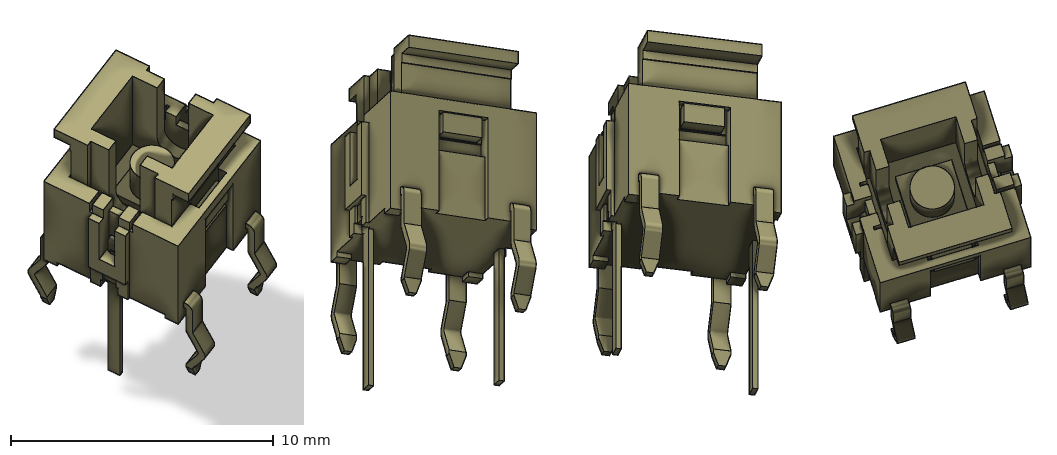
import cadquery as cq
import math


BODY_SIZE = 6.0
BODY_TOP = 4.6
HALF_BODY = BODY_SIZE / 2
FOOT_SIZE = 0.6
FOOT_HEIGHT = 0.2
WALL_INNER = 2.3
CAVITY_FLOOR = 2.6

RECESS_WIDTH = 2.0
RECESS_DEPTH = 0.3
WINDOW_TOP = 4.1

BOSS_WIDTH = 1.66
BOSS_FACE = 3.3
BOSS_LOWER_FACE = 3.12
BOSS_STEP_Z = 1.1
BOSS_TOP = 4.1
SIDE_GAP = 0.13
REAR_GAP_END = 2.6
SLOT_WIDTH = 0.69
SLOT_FLOOR = 1.9
LOWER_SLOT_WIDTH = 0.61
LOWER_SLOT_FACE = 3.0
PIN_POCKET_WIDTH = 0.78
PIN_POCKET_TOP = 0.4

PIN_WIDTH = 0.53
PIN_INNER = 2.58
PIN_OUTER = 2.79
PIN_TOP = 2.69
PIN_TOP_RADIUS = 0.25
FRONT_PIN_END = -5.4
REAR_PIN_END = -6.4
BARB_WIDTH = 0.3
BARB_FACE = 2.83
BARB_TOP = 2.07

CAP_TOP = 7.0
CAP_DEPTH = 4.5
FLANGE_THICKNESS = 0.5
HALF_FLANGE = 3.0
HALF_COLLAR = 2.3
HALF_NECK = 2.25
COLLAR_BOTTOM = 6.14
CAP_CAVITY = (3.6, 3.0)
CAP_FLOOR = 2.8
SPLIT_WIDTH = 1.4
SPLIT_CENTER_Z = 3.95
ARM_STEP_WIDTH = 3.0
ARM_OUTER = 2.02

LATCH_FACE = 2.35
LATCH_BOTTOM = 3.25
LATCH_TOP = 4.85
HOOK_FACE = 2.9
HOOK_WIDTH = 1.6
HOOK_BOTTOM = 3.29

LAMP_BASE_SIZE = 2.25
LAMP_BASE_TOP = 3.15
LAMP_RADIUS = 0.845
LAMP_TOP = 4.5

LEG_THICKNESS = 0.3
LEG_WIDTH = 0.7
LEG_Y = 2.25
LEG_OUTER = 3.4
LEG_TOP = 0.7
SHOULDER_RADIUS = 0.35
APEX_X = 3.95
APEX_Z = -2.0
APEX_RADIUS = 0.4
KNEE_ANGLE = math.radians(29)
LEG_TIP_WIDTH = 0.3
LEG_TIP_START = -3.16
LEG_END = -3.7


def block(x0, x1, y0, y1, z0, z1):
    """Axis-aligned box between two corners."""
    return cq.Workplane("XY").box(x1 - x0, y1 - y0, z1 - z0, centered=False).translate((x0, y0, z0))


def centered_block(width, y0, y1, z0, z1):
    """Box of the given X width, centred on X = 0."""
    return block(-width / 2, width / 2, y0, y1, z0, z1)


def flipped_x(shape):
    return shape.mirror("YZ")


def flipped_y(shape):
    return shape.mirror("XZ")


def make_body():
    body = centered_block(BODY_SIZE, -HALF_BODY, HALF_BODY, 0, BODY_TOP)
    foot_start = HALF_BODY - FOOT_SIZE
    foot = block(foot_start, HALF_BODY, foot_start, HALF_BODY, -FOOT_HEIGHT, 0)
    for corner in (foot, flipped_x(foot)):
        body = body.union(corner).union(flipped_y(corner))
    return body.cut(centered_block(2 * WALL_INNER, -WALL_INNER, WALL_INNER, CAVITY_FLOOR, BODY_TOP))


def make_window_cut():
    """Recess, window and latch clearance in the +X wall."""
    half = RECESS_WIDTH / 2
    recess_floor = HALF_BODY - RECESS_DEPTH
    recess = block(recess_floor, HALF_BODY, -half, half, 0, WINDOW_TOP)
    clearance = block(WALL_INNER, recess_floor, -half, half, CAVITY_FLOOR, BODY_TOP)
    return recess.union(clearance)


def make_boss():
    """Lamp contact boss on the +Y wall."""
    upper = centered_block(BOSS_WIDTH, HALF_BODY, BOSS_FACE, BOSS_STEP_Z, BOSS_TOP)
    lower = centered_block(BOSS_WIDTH, HALF_BODY, BOSS_LOWER_FACE, 0, BOSS_STEP_Z)
    return upper.union(lower)


def make_boss_cut():
    """Lamp contact slot and pin pocket in the +Y wall and boss."""
    outer_slot = centered_block(SLOT_WIDTH, PIN_INNER, BOSS_FACE, SLOT_FLOOR, BODY_TOP)
    inner_slot = centered_block(SLOT_WIDTH, WALL_INNER, PIN_INNER, BOSS_TOP, BODY_TOP)
    lower_slot = centered_block(
        LOWER_SLOT_WIDTH, LOWER_SLOT_FACE, BOSS_LOWER_FACE, PIN_POCKET_TOP, BOSS_STEP_Z)
    pocket = centered_block(PIN_POCKET_WIDTH, PIN_OUTER, BOSS_LOWER_FACE, 0, PIN_POCKET_TOP)
    return outer_slot.union(inner_slot).union(lower_slot).union(pocket)


def make_side_gaps(gap_end):
    """Pair of relief gaps in the +Y wall, reaching out to gap_end."""
    start = BOSS_WIDTH / 2
    gap = block(start, start + SIDE_GAP, WALL_INNER, gap_end, BOSS_TOP, BODY_TOP)
    return gap.union(flipped_x(gap))


def make_pin(end_z):
    """Lamp pin on the +Y side, with a rounded upper end."""
    arc_y = PIN_OUTER - PIN_TOP_RADIUS
    arc_z = PIN_TOP - PIN_TOP_RADIUS
    arc_middle = PIN_TOP_RADIUS * math.sqrt(0.5)
    return (
        cq.Workplane("YZ")
        .moveTo(PIN_INNER, end_z)
        .lineTo(PIN_OUTER, end_z)
        .lineTo(PIN_OUTER, arc_z)
        .threePointArc((arc_y + arc_middle, arc_z + arc_middle), (arc_y, PIN_TOP))
        .lineTo(arc_y, SLOT_FLOOR)
        .lineTo(PIN_INNER, SLOT_FLOOR)
        .close()
        .extrude(PIN_WIDTH / 2, both=True)
    )


def make_barb():
    """Small barb on the +Y face of a pin, at the floor of the contact slot."""
    return centered_block(BARB_WIDTH, PIN_OUTER, BARB_FACE, SLOT_FLOOR, BARB_TOP)


def make_cap():
    half_depth = CAP_DEPTH / 2
    flange_bottom = CAP_TOP - FLANGE_THICKNESS
    cap = centered_block(2 * HALF_NECK, -half_depth, half_depth, CAVITY_FLOOR, CAP_TOP)
    cap = cap.union(centered_block(2 * HALF_COLLAR, -half_depth, half_depth, COLLAR_BOTTOM, CAP_TOP))
    cap = cap.union(centered_block(2 * HALF_FLANGE, -half_depth, half_depth, flange_bottom, CAP_TOP))

    cavity_width, cavity_depth = CAP_CAVITY
    cap = cap.cut(centered_block(cavity_width, -cavity_depth / 2, cavity_depth / 2, CAP_FLOOR, CAP_TOP))

    arm_step = centered_block(ARM_STEP_WIDTH, ARM_OUTER, half_depth, CAVITY_FLOOR, CAP_TOP)
    cap = cap.cut(arm_step).cut(flipped_y(arm_step))

    split = centered_block(SPLIT_WIDTH, -half_depth, half_depth, SPLIT_CENTER_Z, CAP_TOP)
    split_bottom = (
        cq.Workplane("XZ")
        .center(0, SPLIT_CENTER_Z)
        .circle(SPLIT_WIDTH / 2)
        .extrude(half_depth, both=True)
    )
    return cap.cut(split.union(split_bottom))


def make_latch():
    """Latch pad and hook on the +X side of the cap holder."""
    half_pad = RECESS_WIDTH / 2
    half_hook = HOOK_WIDTH / 2
    pad = block(HALF_NECK, LATCH_FACE, -half_pad, half_pad, LATCH_BOTTOM, LATCH_TOP)
    hook = block(HALF_NECK, HOOK_FACE, -half_hook, half_hook, HOOK_BOTTOM, WINDOW_TOP)
    return pad.union(hook)


def make_lamp():
    half = LAMP_BASE_SIZE / 2
    base = centered_block(LAMP_BASE_SIZE, -half, half, CAP_FLOOR, LAMP_BASE_TOP)
    lens = cq.Workplane("XY").workplane(offset=LAMP_BASE_TOP).circle(LAMP_RADIUS)
    return base.union(lens.extrude(LAMP_TOP - LAMP_BASE_TOP))


def make_leg():
    """Bent strip leg in the +X, +Y corner."""
    inner_x = LEG_OUTER - LEG_THICKNESS
    shoulder_x = LEG_OUTER - SHOULDER_RADIUS
    shoulder_z = LEG_TOP - SHOULDER_RADIUS
    inner_radius = SHOULDER_RADIUS - LEG_THICKNESS
    diagonal = math.sqrt(0.5)

    knee_x = APEX_X - APEX_RADIUS
    knee_inner_radius = APEX_RADIUS - LEG_THICKNESS
    slope_cos = math.cos(KNEE_ANGLE)
    slope_sin = math.sin(KNEE_ANGLE)
    slope_tan = math.tan(KNEE_ANGLE)

    def tangent(radius, side):
        """End of a knee arc, above (side 1) or below (side -1) the apex."""
        return (knee_x + radius * slope_cos, APEX_Z + side * radius * slope_sin)

    def bend(radius, x, side):
        """Point where the slope tangent to a knee arc meets the vertical line at x."""
        tangent_x, tangent_z = tangent(radius, side)
        return (x, tangent_z + side * (tangent_x - x) / slope_tan)

    strip = (
        cq.Workplane("XZ")
        .moveTo(HALF_BODY, LEG_TOP)
        .lineTo(shoulder_x, LEG_TOP)
        .threePointArc(
            (shoulder_x + SHOULDER_RADIUS * diagonal, shoulder_z + SHOULDER_RADIUS * diagonal),
            (LEG_OUTER, shoulder_z))
        .lineTo(*bend(APEX_RADIUS, LEG_OUTER, 1))
        .lineTo(*tangent(APEX_RADIUS, 1))
        .threePointArc((APEX_X, APEX_Z), tangent(APEX_RADIUS, -1))
        .lineTo(*bend(APEX_RADIUS, LEG_OUTER, -1))
        .lineTo(LEG_OUTER, LEG_END)
        .lineTo(inner_x, LEG_END)
        .lineTo(*bend(knee_inner_radius, inner_x, -1))
        .lineTo(*tangent(knee_inner_radius, -1))
        .threePointArc((knee_x + knee_inner_radius, APEX_Z), tangent(knee_inner_radius, 1))
        .lineTo(*bend(knee_inner_radius, inner_x, 1))
        .lineTo(inner_x, shoulder_z)
        .threePointArc(
            (shoulder_x + inner_radius * diagonal, shoulder_z + inner_radius * diagonal),
            (shoulder_x, shoulder_z + inner_radius))
        .lineTo(HALF_BODY, shoulder_z + inner_radius)
        .close()
        .extrude(LEG_WIDTH / 2, both=True)
    )

    half = LEG_WIDTH / 2
    half_tip = LEG_TIP_WIDTH / 2
    tapered_outline = [
        (-half, LEG_TOP),
        (half, LEG_TOP),
        (half, LEG_TIP_START),
        (half_tip, LEG_END),
        (-half_tip, LEG_END),
        (-half, LEG_TIP_START),
    ]
    outline = cq.Workplane("YZ").polyline(tapered_outline).close().extrude(APEX_X)
    return strip.intersect(outline).translate((0, LEG_Y, 0))


def build_switch():
    window_cut = make_window_cut()
    body = make_body().cut(window_cut).cut(flipped_x(window_cut))

    boss = make_boss()
    boss_cut = make_boss_cut()
    body = body.union(boss).union(flipped_y(boss))
    body = body.cut(boss_cut).cut(flipped_y(boss_cut))
    body = body.cut(make_side_gaps(REAR_GAP_END)).cut(flipped_y(make_side_gaps(HALF_BODY)))

    front_pin = make_pin(FRONT_PIN_END).union(make_barb())
    switch = body.union(make_pin(REAR_PIN_END)).union(flipped_y(front_pin))

    latch = make_latch()
    cap = make_cap().union(latch).union(flipped_x(latch)).union(make_lamp())
    switch = switch.union(cap)

    leg = make_leg()
    for side_leg in (leg, flipped_x(leg)):
        switch = switch.union(side_leg).union(flipped_y(side_leg))
    return switch


result = build_switch()